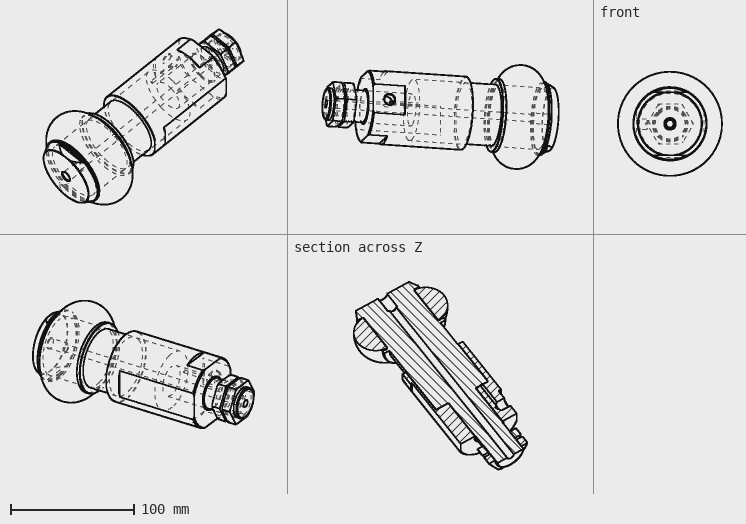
import cadquery as cq
import math


total_length = 189.0

housing_diameter = 60.0
housing_front = 73.1
housing_rear = 156.9
rear_edge_chamfer = 1.0
front_edge_chamfer = 0.4
wrench_flat_offset = 27.0
wrench_flat_start = 140.8
port_flat_offset = 27.4
port_flat_start = 130.0
long_flat_offset = 27.4
long_flat_start = 85.2
shallow_flat_offset = 29.0
lip_base_diameter = 29.0
lip_height = 0.5
port_y = 142.9
port_depth = 8.5
passage_diameter = 2.0

tapped_diameter = 8.5
tapped_mouth_diameter = 9.6
front_tapped_depth = 15.1
drill_half_angle = 59.0

stud_diameter = 26.0
stud_tip_diameter = 24.4
shaft_diameter = 50.0
shaft_shoulder = 117.2
flange_diameter = 60.0
flange_rear = 48.2
through_hole_diameter = 6.0
flange_chamfer = 0.4
cap_front_diameter = 51.5
cap_cone_diameter = 52.4
cap_cone_slope = 0.5
cap_edge_length = 0.28
cap_cone_end = 6.8
cap_flat_offset = 25.7
cap_flat_length = 5.9

buffer_diameter = 84.9
buffer_section_radius = 18.0
buffer_center = 27.0
buffer_rear = buffer_center + buffer_section_radius
buffer_front = buffer_center - buffer_section_radius

nut_width = 32.7
nut_thickness = 8.0
nut_chamfer_diameter = 36.0
nut_chamfer_angle = 30.0
nut_front_faces = [168.2, 177.8]

cutter_size = 2 * housing_diameter


def revolve_about_axis(points):
    """Solid of revolution about Y from (radius, y) points."""
    return cq.Workplane("XY").polyline(points).close().revolve(360, (0, 0), (0, 1))


def cylinder(diameter, start, end):
    """Cylinder on the Y axis between two Y positions."""
    radius = diameter / 2
    return revolve_about_axis([(0, start), (radius, start), (radius, end), (0, end)])


def flat_cutter(offset, start, end, angle):
    """Block beyond a flat at `offset` from the axis; angle 0 faces +X, turning about Y."""
    block = cq.Workplane("XY").box(
        cutter_size, end - start, cutter_size, centered=(False, False, True)
    )
    return block.translate((offset, start, 0)).rotate((0, 0, 0), (0, 1, 0), angle)


def tapped_hole(depth, with_cone):
    """Cutter for a tapped hole with countersunk mouth, running along +Y from the origin."""
    radius = tapped_diameter / 2
    mouth_radius = tapped_mouth_diameter / 2
    cone_length = radius / math.tan(math.radians(drill_half_angle)) if with_cone else 0
    points = [(0, 0), (mouth_radius, 0), (radius, mouth_radius - radius), (radius, depth)]
    points.append((0, depth + cone_length))
    return revolve_about_axis(points)


def make_housing():
    radius = housing_diameter / 2
    body = revolve_about_axis([
        (0, housing_front),
        (radius - front_edge_chamfer, housing_front),
        (radius, housing_front + front_edge_chamfer),
        (radius, housing_rear - rear_edge_chamfer),
        (radius - rear_edge_chamfer, housing_rear),
        (0, housing_rear),
    ])
    for angle in (90, -90):
        body = body.cut(flat_cutter(wrench_flat_offset, wrench_flat_start, housing_rear, angle))
    body = body.cut(flat_cutter(port_flat_offset, port_flat_start, housing_rear, 180))
    body = body.cut(flat_cutter(long_flat_offset, long_flat_start, housing_rear, 0))
    body = body.cut(flat_cutter(shallow_flat_offset, housing_front, housing_rear, 0))

    lip_radius = lip_base_diameter / 2
    lip = revolve_about_axis([
        (0, housing_rear - lip_height),
        (lip_radius, housing_rear - lip_height),
        (lip_radius, housing_rear),
        (lip_radius - lip_height, housing_rear + lip_height),
        (0, housing_rear + lip_height),
    ])
    body = body.union(lip)

    body = body.cut(cylinder(shaft_diameter, housing_front, shaft_shoulder))
    body = body.cut(cylinder(stud_diameter, shaft_shoulder, total_length))

    port = tapped_hole(port_depth, True).rotate((0, 0, 0), (0, 0, 1), -90)
    body = body.cut(port.translate((-port_flat_offset, port_y, 0)))

    passage = cylinder(passage_diameter, shaft_shoulder, port_y)
    return body.cut(passage.translate((port_depth - port_flat_offset, 0, 0)))


def make_buffer():
    """Ring with a round outer section, seated on the shaft between the two flanges."""
    center_radius = buffer_diameter / 2 - buffer_section_radius
    shaft_radius = shaft_diameter / 2
    half_width = math.sqrt(buffer_section_radius**2 - (shaft_radius - center_radius) ** 2)
    section = (
        cq.Workplane("XY")
        .moveTo(shaft_radius, buffer_center - half_width)
        .threePointArc((buffer_diameter / 2, buffer_center), (shaft_radius, buffer_center + half_width))
        .close()
    )
    return section.revolve(360, (0, 0), (0, 1))


def make_plunger():
    flange_radius = flange_diameter / 2
    shaft_radius = shaft_diameter / 2
    stud_radius = stud_diameter / 2
    stud_tip_radius = stud_tip_diameter / 2
    cone_radius = cap_cone_diameter / 2
    cone_end_radius = cone_radius + cap_cone_slope * (cap_cone_end - cap_edge_length)
    plunger = revolve_about_axis([
        (0, 0),
        (cap_front_diameter / 2, 0),
        (cone_radius, cap_edge_length),
        (cone_end_radius, cap_cone_end),
        (flange_radius, cap_cone_end + flange_chamfer),
        (flange_radius, buffer_front - flange_chamfer),
        (flange_radius - flange_chamfer, buffer_front),
        (shaft_radius, buffer_front),
        (shaft_radius, buffer_rear),
        (flange_radius - flange_chamfer, buffer_rear),
        (flange_radius, buffer_rear + flange_chamfer),
        (flange_radius, flange_rear - flange_chamfer),
        (flange_radius - flange_chamfer, flange_rear),
        (shaft_radius, flange_rear),
        (shaft_radius, shaft_shoulder),
        (stud_radius, shaft_shoulder),
        (stud_radius, total_length - (stud_radius - stud_tip_radius)),
        (stud_tip_radius, total_length),
        (0, total_length),
    ])
    for angle in (90, -90):
        plunger = plunger.cut(flat_cutter(cap_flat_offset, 0, cap_flat_length, angle))
    plunger = plunger.cut(cylinder(through_hole_diameter, 0, total_length))
    return plunger.cut(tapped_hole(front_tapped_depth, False))


def make_nut(front_face):
    """Hexagon nut with both ends chamfered; two flats face up and down."""
    corner_diameter = nut_width / math.cos(math.pi / 6)
    corner_radius = corner_diameter / 2
    chamfer_radius = nut_chamfer_diameter / 2
    chamfer_length = (corner_radius - chamfer_radius) * math.tan(math.radians(nut_chamfer_angle))
    rear_face = front_face + nut_thickness
    hexagon = cq.Workplane("XZ", origin=(0, rear_face, 0)).polygon(6, corner_diameter)
    envelope = revolve_about_axis([
        (0, front_face),
        (chamfer_radius, front_face),
        (corner_radius, front_face + chamfer_length),
        (corner_radius, rear_face - chamfer_length),
        (chamfer_radius, rear_face),
        (0, rear_face),
    ])
    nut = hexagon.extrude(nut_thickness).intersect(envelope)
    return nut.cut(cylinder(stud_diameter, front_face, rear_face))


housing = make_housing()
plunger = make_plunger()
buffer = make_buffer()
nuts = [make_nut(front_face).val() for front_face in nut_front_faces]

result = cq.Compound.makeCompound([housing.val(), plunger.val(), buffer.val(), *nuts])